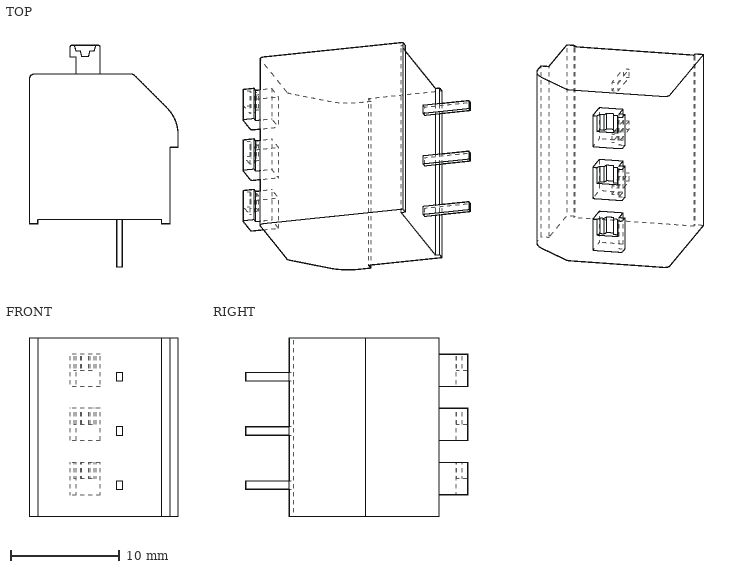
import cadquery as cq

housing_width = 13.75
housing_depth = 13.85
housing_height = 16.5
corner_radius = 0.5
chamfer_size = 4.17
shoulder_radius = 3.5
lip_overhang = 0.75
lip_top_to_underside = 6.8
foot_width = 0.8
foot_depth = 0.4

pole_count = 3
pole_pitch = 5.0

pin_width = 0.55
pin_thickness = 0.8
pin_length = 4.0
pin_center_x = 8.33
first_pin_z = 2.9

lever_left_x = 3.75
lever_width = 2.8
lever_length = 2.65
lever_thickness = 3.0
first_lever_z = 2.0
lever_hook_width = 0.55
lever_hook_length = 1.1
lever_edge_radius = 0.2

notch_depth_z = 1.5
notch_outer_mouth = 2.0
notch_outer_base = 1.66
notch_outer_length = 0.55
notch_inner_mouth = 0.87
notch_inner_base = 0.63
notch_total_length = 1.05

joint_overlap = 1.0


def make_housing():
    right_foot_x = housing_width - lip_overhang
    lip_y = housing_depth - lip_top_to_underside
    outline = [
        (0, 0),
        (foot_width, 0),
        (foot_width, foot_depth),
        (right_foot_x - foot_width, foot_depth),
        (right_foot_x - foot_width, 0),
        (right_foot_x, 0),
        (right_foot_x, lip_y),
        (housing_width, lip_y),
        (housing_width, housing_depth - chamfer_size),
        (housing_width - chamfer_size, housing_depth),
        (0, housing_depth),
    ]
    body = cq.Workplane("XY").polyline(outline).close().extrude(housing_height)
    body = round_edge(body, 0, housing_depth, corner_radius)
    body = round_edge(body, housing_width - chamfer_size, housing_depth, corner_radius)
    return round_edge(body, housing_width, housing_depth - chamfer_size, shoulder_radius)


def round_edge(body, x, y, radius):
    """Fillet the vertical housing edge that passes through (x, y)."""
    nearest_point = (x, y, housing_height / 2)
    return body.edges("|Z").edges(cq.NearestToPointSelector(nearest_point)).fillet(radius)


def make_pin(center_z):
    y_end = foot_depth + joint_overlap
    return cq.Workplane("XY").box(
        pin_width, pin_length + y_end, pin_thickness, centered=(True, False, True)
    ).translate((pin_center_x, -pin_length, center_z))


def make_lever(bottom_z):
    right_x = lever_left_x + lever_width
    neck_x = lever_left_x + lever_hook_width
    tip_y = housing_depth + lever_length
    root_y = housing_depth - joint_overlap
    hook_y = tip_y - lever_hook_length
    outline = [
        (neck_x, root_y),
        (right_x, root_y),
        (right_x, tip_y),
        (lever_left_x, tip_y),
        (lever_left_x, hook_y),
        (neck_x, hook_y),
    ]
    lever = cq.Workplane("XY").polyline(outline).close().extrude(lever_thickness)
    lever = lever.faces(">Y").edges("|Z").fillet(lever_edge_radius)
    return lever.cut(make_notch(tip_y)).translate((0, 0, bottom_z))


def make_notch(tip_y):
    center_x = lever_left_x + lever_width / 2
    step_y = tip_y - notch_outer_length
    floor_y = tip_y - notch_total_length
    right_half = [
        (notch_inner_base / 2, floor_y),
        (notch_inner_mouth / 2, step_y),
        (notch_outer_base / 2, step_y),
        (notch_outer_mouth / 2, tip_y),
    ]
    left_half = [(-x, y) for x, y in reversed(right_half)]
    return (
        cq.Workplane("XY")
        .polyline(right_half + left_half)
        .close()
        .extrude(notch_depth_z)
        .translate((center_x, 0, lever_thickness - notch_depth_z))
    )


result = make_housing()
for pole in range(pole_count):
    pole_offset = pole * pole_pitch
    result = result.union(make_pin(first_pin_z + pole_offset))
    result = result.union(make_lever(first_lever_z + pole_offset))